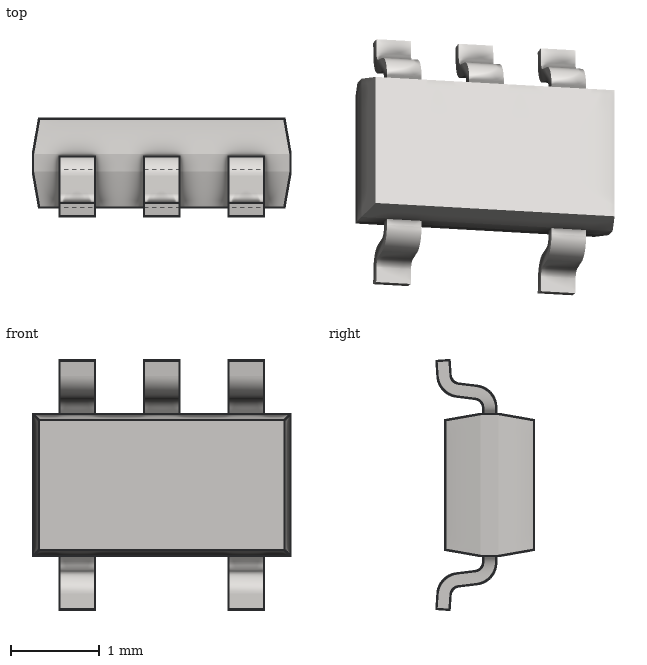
import math

import cadquery as cq


body_length = 2.9
body_width = 1.6
body_thickness = 1.0
band_thickness = 0.2
draft_angle = 10.0
standoff = 0.1

span = 2.81
lead_pitch = 0.95
lead_width = 0.4
lead_thickness = 0.15
inner_bend_radius = 0.1
shank_slope = 7.0
foot_tilt = 4.0
foot_length = 0.172
lead_embed = 0.2

upper_lead_columns = (-1, 0, 1)
lower_lead_columns = (-1, 1)

band_y = standoff + body_thickness / 2
half_thickness = (body_thickness - band_thickness) / 2
half_lead = lead_thickness / 2
bend_radius = inner_bend_radius + half_lead
slope = math.radians(shank_slope)
tilt = math.radians(foot_tilt)

foot_end_y = half_lead * math.cos(tilt)
upper_bend_drop = bend_radius * (1 - math.sin(slope))
lower_bend_drop = bend_radius * (math.cos(tilt) - math.sin(slope))
foot_drop = foot_length * math.sin(tilt)
shank_drop = band_y - foot_end_y - upper_bend_drop - lower_bend_drop - foot_drop
shank_length = shank_drop / math.cos(slope)

foot_end_z = span / 2 - half_lead * math.sin(tilt)
upper_bend_reach = bend_radius * math.cos(slope)
lower_bend_reach = bend_radius * (math.cos(slope) - math.sin(tilt))
shank_reach = shank_length * math.sin(slope)
foot_reach = foot_length * math.cos(tilt)
stub_end_z = foot_end_z - upper_bend_reach - shank_reach - lower_bend_reach - foot_reach


def body_band():
    return cq.Workplane("XY").box(body_length, band_thickness, body_width).translate((0, band_y, 0))


def drafted_half(side):
    """Half of the body on the +Y (side = 1) or -Y (side = -1) face of the band."""
    plane = cq.Plane(
        origin=(0, band_y + side * band_thickness / 2, 0),
        xDir=(1, 0, 0),
        normal=(0, side, 0),
    )
    outline = cq.Workplane(plane).rect(body_length, body_width)
    return outline.extrude(half_thickness, taper=draft_angle)


def polar(centre, radius, angle):
    """Point at an angle measured from +Y toward +Z."""
    return (centre[0] + radius * math.cos(angle), centre[1] + radius * math.sin(angle))


def upper_lead(x):
    """Lead on the +Z side of the body, centred on x."""
    upper_centre = (band_y - bend_radius, stub_end_z)
    lower_centre = (
        foot_end_y + foot_drop + bend_radius * math.cos(tilt),
        foot_end_z - foot_reach + bend_radius * math.sin(tilt),
    )
    outside = bend_radius + half_lead
    inside = bend_radius - half_lead
    start_z = body_width / 2 - lead_embed

    upper_end = math.pi / 2 - slope
    lower_start = upper_end + math.pi
    lower_end = math.pi + tilt
    upper_middle = upper_end / 2
    lower_middle = (lower_start + lower_end) / 2

    foot_step = (-foot_drop, foot_reach)
    foot_top = polar(lower_centre, inside, lower_end)
    foot_sole = polar(lower_centre, outside, lower_end)
    tip_top = (foot_top[0] + foot_step[0], foot_top[1] + foot_step[1])
    tip_sole = (foot_sole[0] + foot_step[0], foot_sole[1] + foot_step[1])

    profile = (
        cq.Workplane("YZ", origin=(x - lead_width / 2, 0, 0))
        .moveTo(band_y + half_lead, start_z)
        .lineTo(band_y + half_lead, stub_end_z)
        .threePointArc(polar(upper_centre, outside, upper_middle), polar(upper_centre, outside, upper_end))
        .lineTo(*polar(lower_centre, inside, lower_start))
        .threePointArc(polar(lower_centre, inside, lower_middle), foot_top)
        .lineTo(*tip_top)
        .lineTo(*tip_sole)
        .lineTo(*foot_sole)
        .threePointArc(polar(lower_centre, outside, lower_middle), polar(lower_centre, outside, lower_start))
        .lineTo(*polar(upper_centre, inside, upper_end))
        .threePointArc(polar(upper_centre, inside, upper_middle), (band_y - half_lead, stub_end_z))
        .lineTo(band_y - half_lead, start_z)
        .close()
    )
    return profile.extrude(lead_width)


def lower_lead(x):
    """Lead on the -Z side: the mirror image of an upper lead."""
    return upper_lead(x).mirror("XY")


result = body_band()
for side in (1, -1):
    result = result.union(drafted_half(side))
for column in upper_lead_columns:
    result = result.union(upper_lead(column * lead_pitch))
for column in lower_lead_columns:
    result = result.union(lower_lead(column * lead_pitch))